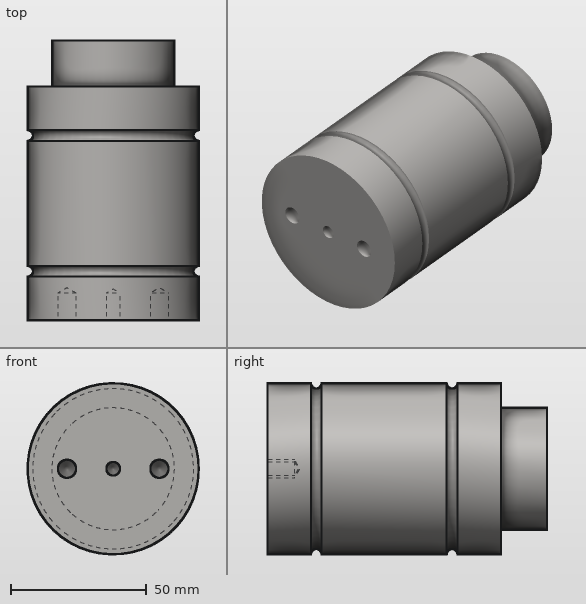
import cadquery as cq
import math

total_length = 103.0
body_diameter = 63.0
boss_diameter = 45.0
boss_length = 17.0
body_length = total_length - boss_length

groove_radius = 2.0
groove_end_distance = 18.0

center_hole_diameter = 5.0
side_hole_diameter = 6.7
side_hole_offset = 17.0
center_hole_depth = 10.0
side_hole_depth = 10.0
drill_tip_angle = 118.0


def cylinder_along_y(diameter, start, length):
    """Cylinder on the part axis, from Y = start towards +Y."""
    base = cq.Workplane("XZ", origin=(0, start, 0))
    return base.circle(diameter / 2).extrude(-length)


def groove_cutter(y):
    """Ring of round section, centred on the body surface."""
    section = cq.Workplane("XY").center(body_diameter / 2, y).circle(groove_radius)
    return section.revolve(360, (-body_diameter / 2, 0, 0), (-body_diameter / 2, 1, 0))


def drilled_hole(x, diameter, depth):
    """Round hole from the front face; depth is to the start of the conical tip."""
    radius = diameter / 2
    tip_length = radius / math.tan(math.radians(drill_tip_angle / 2))
    half_section = [(0, 0), (radius, 0), (radius, depth), (0, depth + tip_length)]
    hole = cq.Workplane("XY").polyline(half_section).close()
    return hole.revolve(360, (0, 0, 0), (0, 1, 0)).translate((x, 0, 0))


body = cylinder_along_y(body_diameter, 0, body_length)
boss = cylinder_along_y(boss_diameter, body_length, boss_length)
result = body.union(boss)

for groove_y in (groove_end_distance, body_length - groove_end_distance):
    result = result.cut(groove_cutter(groove_y))

result = result.cut(drilled_hole(0, center_hole_diameter, center_hole_depth))
for side in (-1, 1):
    result = result.cut(drilled_hole(side * side_hole_offset, side_hole_diameter, side_hole_depth))